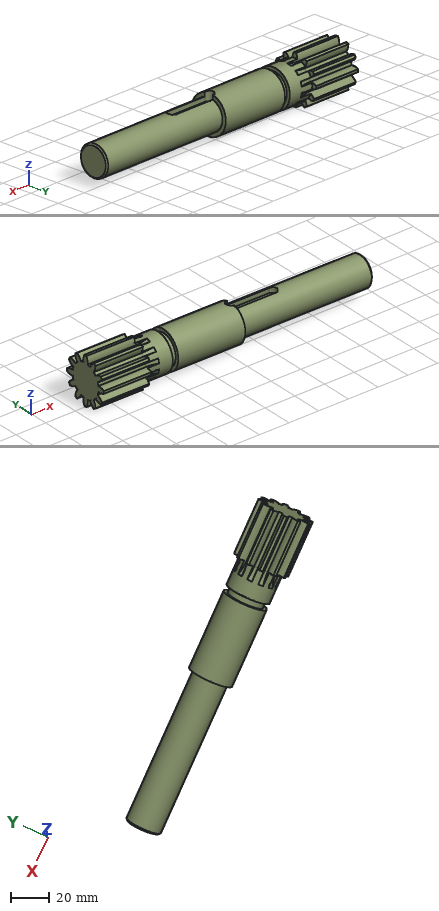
import cadquery as cq
import math

length = 186.0

tooth_count = 12
gear_length = 32.0
tip_radius = 15.53
root_radius = 11.0
tooth_tip_width = 1.77
tooth_middle_width = 3.7
tooth_middle_radius = 11.7
gap_runout_end = 39.8

collar_radius = 12.5
groove_start = 49.0
groove_end = 52.6
groove_radius = 10.2
journal_end = 97.8
shaft_radius = 9.95
end_chamfer = 1.0

key_start = 94.7
key_length = 34.2
key_width = 6.0
key_depth = 3.5


def cylinder(start, end, radius):
    """A cylinder on the X axis between two X positions."""
    return cq.Workplane("YZ", origin=(start, 0, 0)).circle(radius).extrude(end - start)


def make_teeth():
    """Teeth with barrel-shaped flanks; past the gear face they are turned down to the collar radius."""
    tip_half = tooth_tip_width / 2
    middle_half = tooth_middle_width / 2
    buried_height = 2 * tooth_middle_radius - tip_radius
    full_length_tooth = (
        cq.Workplane("YZ")
        .moveTo(-tip_half, buried_height)
        .threePointArc((-middle_half, tooth_middle_radius), (-tip_half, tip_radius))
        .lineTo(tip_half, tip_radius)
        .threePointArc((middle_half, tooth_middle_radius), (tip_half, buried_height))
        .close()
        .extrude(gap_runout_end)
    )
    turned_envelope = cylinder(0, gear_length, 2 * tip_radius).union(
        cylinder(gear_length, gap_runout_end, collar_radius)
    )
    tooth = full_length_tooth.intersect(turned_envelope)
    pitch = 360 / tooth_count
    return [tooth.rotate((0, 0, 0), (1, 0, 0), index * pitch) for index in range(tooth_count)]


def make_pinion_core():
    """Round core between the teeth, its radius sweeping up to the collar as the gap runout."""
    runout_length = gap_runout_end - gear_length
    runout_rise = collar_radius - root_radius
    cutter_radius = (runout_length**2 + runout_rise**2) / (2 * runout_rise)
    half_sweep = math.asin(runout_length / cutter_radius) / 2
    middle_x = gear_length + cutter_radius * math.sin(half_sweep)
    middle_radius = root_radius + cutter_radius * (1 - math.cos(half_sweep))
    return (
        cq.Workplane("XY")
        .lineTo(0, root_radius)
        .lineTo(gear_length, root_radius)
        .threePointArc((middle_x, middle_radius), (gap_runout_end, collar_radius))
        .lineTo(gap_runout_end, 0)
        .close()
        .revolve(360, (0, 0, 0), (1, 0, 0))
    )


def make_pinion():
    """Toothed end of the shaft, up to the end of the gap runout."""
    pinion = make_pinion_core()
    for tooth in make_teeth():
        pinion = pinion.union(tooth)
    return pinion


def make_shaft():
    """Collar, retaining groove, journal and chamfered output shaft."""
    collar = cylinder(gap_runout_end, groove_start, collar_radius)
    groove_core = cylinder(groove_start, groove_end, groove_radius)
    journal = cylinder(groove_end, journal_end, collar_radius)
    output = cylinder(journal_end, length, shaft_radius).faces(">X").chamfer(end_chamfer)
    return collar.union(groove_core).union(journal).union(output)


def make_keyway():
    """Round-ended key slot cut down from above."""
    floor = shaft_radius - key_depth
    return (
        cq.Workplane("XY", origin=(key_start + key_length / 2, 0, floor))
        .slot2D(key_length, key_width)
        .extrude(collar_radius)
    )


result = make_pinion().union(make_shaft()).cut(make_keyway())